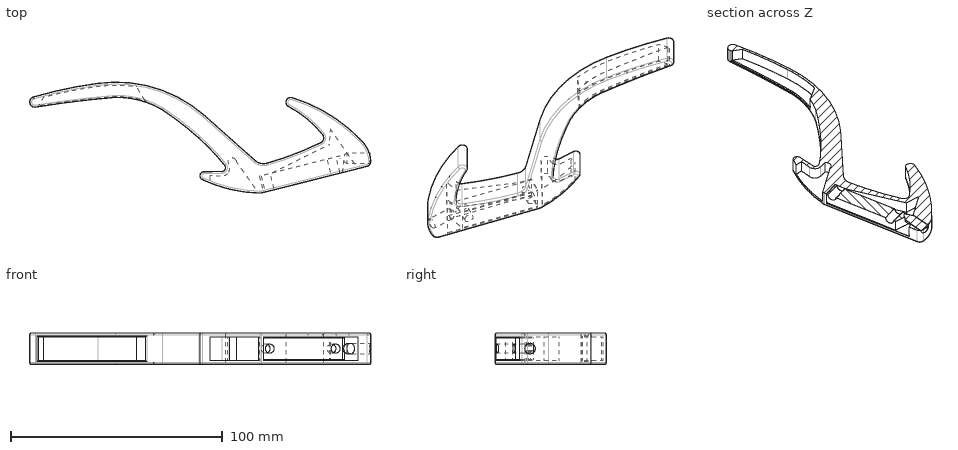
import cadquery as cq
import math

THICKNESS = 15.0
EDGE_ROUND = 0.95
ARM_WALL = 1.5
ARM_MOUTH_CHAMFER = 0.45
HOLLOW_HEIGHT = 11.2
TOUCHING = 0.01
CUT_MARGIN = 3.0

CROTCH = (28.35, -13.12)
MOUTH = (59.6, -1.2)
HEAD_END = (80.67, -13.38)
HEEL = (28.6, -26.5)
NOTCH = (13.7, -16.15)

CORNER_ROUNDS = [
    (CROTCH, 6.0),
    (MOUTH, 2.5),
    (HEAD_END, 2.5),
    (HEEL, 3.0),
    (NOTCH, 1.75),
]

ARM_TIP = ((-78.17, 16.65), 2.5, 277, 107)
HOOK_TIP = ((42.85, 16.5), 2.35, 237, 70)
BEAK_TIP = ((1.8, -18.25), 2.0, 248, 90)

ARM_TOP_JOINT = (-48.4, 25.5)
ARM_TOP_END = (1.8, 10.5)
HEAD_SHOULDER = (76.0, -1.3)
ARM_LOWER_JOINT = (-0.6, -0.5)
ARM_MIDDLE_JOINT = (-17.9, 12.9)
ARM_CREST_JOINT = (-40.0, 18.8)

ARM_TOP_OUTER_MIDDLE = (-65.0, 22.6)
ARM_TOP_INNER_MIDDLE = (-21.0, 23.25)
MOUTH_LOWER_MIDDLE = (45.4, -7.6)
MOUTH_UPPER_MIDDLE = (52.7, 6.7)
HEAD_TOP_MIDDLE = (60.0, 11.4)
HEAD_NOSE_MIDDLE = (79.5, -6.4)
BEAK_LOWER_MIDDLE = (13.8, -24.6)
ARM_ROOT_MIDDLE = (6.4, -7.4)
ARM_MIDDLE = (-9.0, 6.5)
ARM_CREST_MIDDLE = (-28.5, 17.4)
ARM_LOWER_OUTER_MIDDLE = (-59.5, 16.8)

BASE_ANGLE = math.atan2(HEAD_END[1] - HEEL[1], HEAD_END[0] - HEEL[0])

BAR_START = 1.4
BAR_FRONT_END_X = 67.2
BAR_END_LEAN = 1.0
BAR_DEPTH = 8.0
BAR_HEIGHT = 10.2
BAR_HOLE_DIAMETER = 4.3
BAR_HOLE_SPACING = 32.1
BAR_HOLE_COUNT = 2
BAR_HOLE_OFFSET = 3.0

SCREW_DIAMETER = 5.0
SCREW_Y = -10.0
SCREW_END_X = 80.2
SCREW_CONE_X = 69.35
SCREW_CONE_LENGTH = 3.3

ARM_HOLLOW_LEFT = (-76.5, 14.7)
ARM_HOLLOW_RIGHT = (-25.7, 16.65)

BEAK_HOLLOW_RIGHT = (27.5, -26.4)
BEAK_HOLLOW_TIP = (4.7, -18.2)
BEAK_HOLLOW_BEND = [(10.3, -18.3), (13.1, -17.0), (13.7, -14.5)]
BEAK_HOLLOW_TOP = [(13.0, -10.7), (14.9, -9.7)]
BEAK_HOLLOW_WALL_LENGTH = 18.0

HEAD_HOLLOW_RIGHT_X = 74.6
HEAD_HOLLOW_WALL_LENGTH = 22.8
HEAD_HOLLOW_MOUTH_CORNER = (61.0, -3.5)
BAR_CONTACT_LENGTH = 6.0

HEAD_WALL_SLOPE = math.radians(125)
ARM_WALL_SLOPE = math.radians(122)
ARM_TIP_WALL_SLOPE = math.radians(60)


def prism(profile, height):
    """Extrude a closed XY profile symmetrically about Z = 0."""
    return profile.extrude(height / 2, both=True)


def along_base(distance, inward=0.0):
    """Point at a distance from the heel along the base, and inward from it."""
    c = math.cos(BASE_ANGLE)
    s = math.sin(BASE_ANGLE)
    return (HEEL[0] + distance * c - inward * s, HEEL[1] + distance * s + inward * c)


def base_point_at(x):
    """Point of the straight base at the given X."""
    return (x, HEEL[1] + (x - HEEL[0]) * math.tan(BASE_ANGLE))


def polar(start, angle, length):
    """Point at a length from the start, in the direction of an angle in radians."""
    return (start[0] + length * math.cos(angle), start[1] + length * math.sin(angle))


def tip_points(tip):
    """Lower end, outermost point and upper end of a round tip's arc."""
    centre, radius, lower_angle, upper_angle = tip
    angles = (lower_angle, (lower_angle + upper_angle) / 2, upper_angle)
    return [polar(centre, math.radians(angle), radius) for angle in angles]


def outline_prism(height):
    """The handle's outline with rounded corners, extruded."""
    arm_lower, arm_outer, arm_upper = tip_points(ARM_TIP)
    hook_lower, hook_outer, hook_upper = tip_points(HOOK_TIP)
    beak_lower, beak_outer, beak_upper = tip_points(BEAK_TIP)
    profile = (
        cq.Workplane("XY")
        .moveTo(*arm_upper)
        .threePointArc(ARM_TOP_OUTER_MIDDLE, ARM_TOP_JOINT)
        .threePointArc(ARM_TOP_INNER_MIDDLE, ARM_TOP_END)
        .lineTo(*CROTCH)
        .threePointArc(MOUTH_LOWER_MIDDLE, MOUTH)
        .threePointArc(MOUTH_UPPER_MIDDLE, hook_lower)
        .threePointArc(hook_outer, hook_upper)
        .threePointArc(HEAD_TOP_MIDDLE, HEAD_SHOULDER)
        .threePointArc(HEAD_NOSE_MIDDLE, HEAD_END)
        .lineTo(*HEEL)
        .threePointArc(BEAK_LOWER_MIDDLE, beak_lower)
        .threePointArc(beak_outer, beak_upper)
        .lineTo(*NOTCH)
        .threePointArc(ARM_ROOT_MIDDLE, ARM_LOWER_JOINT)
        .threePointArc(ARM_MIDDLE, ARM_MIDDLE_JOINT)
        .threePointArc(ARM_CREST_MIDDLE, ARM_CREST_JOINT)
        .threePointArc(ARM_LOWER_OUTER_MIDDLE, arm_lower)
        .threePointArc(arm_outer, arm_upper)
        .close()
    )
    body = prism(profile, height)
    for corner, radius in CORNER_ROUNDS:
        body = body.edges(cq.selectors.NearestToPointSelector((*corner, 0))).fillet(radius)
    return body


def arm_hollow():
    """Hollow opening on the arm's lower side, its ceiling following the arm's upper side."""
    wall_reach = THICKNESS
    region = prism(
        cq.Workplane("XY").polyline(
            [
                polar(ARM_HOLLOW_LEFT, ARM_TIP_WALL_SLOPE, -CUT_MARGIN),
                polar(ARM_HOLLOW_RIGHT, ARM_WALL_SLOPE, -CUT_MARGIN),
                polar(ARM_HOLLOW_RIGHT, ARM_WALL_SLOPE, wall_reach),
                polar(ARM_HOLLOW_LEFT, ARM_TIP_WALL_SLOPE, wall_reach),
            ]
        ).close(),
        HOLLOW_HEIGHT,
    )
    return region.intersect(outline_prism(THICKNESS).translate((0, -ARM_WALL, 0)))


def beak_hollow():
    """Hollow opening on the beak's lower side, reaching round the notch into the arm's root."""
    bottom = BEAK_HOLLOW_RIGHT[1] - CUT_MARGIN
    bend_start, bend_middle, bend_end = BEAK_HOLLOW_BEND
    top_start, top_middle = BEAK_HOLLOW_TOP
    wall_top = polar(BEAK_HOLLOW_RIGHT, HEAD_WALL_SLOPE, BEAK_HOLLOW_WALL_LENGTH)
    profile = (
        cq.Workplane("XY")
        .moveTo(BEAK_HOLLOW_TIP[0], bottom)
        .lineTo(*BEAK_HOLLOW_TIP)
        .lineTo(*bend_start)
        .threePointArc(bend_middle, bend_end)
        .lineTo(*top_start)
        .threePointArc(top_middle, wall_top)
        .lineTo(*BEAK_HOLLOW_RIGHT)
        .lineTo(BEAK_HOLLOW_RIGHT[0], bottom)
        .close()
    )
    return prism(profile, HOLLOW_HEIGHT)


def head_hollow():
    """Hollow opening on the straight base, holding the bar and running up into the hook."""
    rim_right = base_point_at(HEAD_HOLLOW_RIGHT_X)
    profile = cq.Workplane("XY").polyline(
        [
            along_base(BAR_START, -CUT_MARGIN),
            along_base(BAR_START, BAR_DEPTH),
            along_base(BAR_START + BAR_CONTACT_LENGTH, BAR_DEPTH),
            HEAD_HOLLOW_MOUTH_CORNER,
            polar(rim_right, HEAD_WALL_SLOPE, HEAD_HOLLOW_WALL_LENGTH),
            rim_right,
            (rim_right[0], rim_right[1] - CUT_MARGIN),
        ]
    ).close()
    return prism(profile, HOLLOW_HEIGHT)


def set_screw():
    """Cylinder with a cone point, turned about its own axis along X."""
    radius = SCREW_DIAMETER / 2
    half_section = cq.Workplane("XY").polyline(
        [
            (SCREW_CONE_X - SCREW_CONE_LENGTH, SCREW_Y),
            (SCREW_CONE_X, SCREW_Y - radius),
            (SCREW_END_X, SCREW_Y - radius),
            (SCREW_END_X, SCREW_Y),
        ]
    ).close()
    return half_section.revolve(360, (0, SCREW_Y, 0), (1, SCREW_Y, 0))


def bevel_arm_mouth(hollowed, uncut):
    """Bevel the hollow's edges that lie on the arm's outer side."""
    surface = uncut.val().Shells()[0]
    half_height = HOLLOW_HEIGHT / 2 + TOUCHING

    def on_mouth(edge):
        middle = edge.positionAt(0.5)
        is_within_height = abs(middle.z) < half_height
        touches = surface.distance(cq.Vertex.makeVertex(*middle.toTuple())) < TOUCHING
        return is_within_height and touches

    mouth_edges = [edge for edge in hollowed.edges().vals() if on_mouth(edge)]
    return hollowed.newObject(mouth_edges).chamfer(ARM_MOUTH_CHAMFER)


def handle(screw):
    """Rounded plate hollowed from its lower sides, with a hole fitting the screw."""
    body = outline_prism(THICKNESS).faces("|Z").edges().fillet(EDGE_ROUND)
    body = bevel_arm_mouth(body.cut(arm_hollow()), body)
    return body.cut(beak_hollow()).cut(head_hollow()).cut(screw)


def bar(screw):
    """Bar with two cross holes and, in its leaning end, a seat for the screw's point."""
    front_end = base_point_at(BAR_FRONT_END_X)
    front_length = (BAR_FRONT_END_X - HEEL[0]) / math.cos(BASE_ANGLE)
    lean = BAR_END_LEAN / math.cos(BASE_ANGLE) + BAR_DEPTH * math.tan(BASE_ANGLE)
    body = prism(
        cq.Workplane("XY").polyline(
            [
                along_base(BAR_START),
                front_end,
                along_base(front_length + lean, BAR_DEPTH),
                along_base(BAR_START, BAR_DEPTH),
            ]
        ).close(),
        BAR_HEIGHT,
    )
    inward = cq.Vector(-math.sin(BASE_ANGLE), math.cos(BASE_ANGLE), 0)
    for index in range(BAR_HOLE_COUNT):
        place = along_base(BAR_START + BAR_HOLE_OFFSET + index * BAR_HOLE_SPACING)
        hole = cq.Solid.makeCylinder(BAR_HOLE_DIAMETER / 2, BAR_DEPTH, cq.Vector(*place, 0), inward)
        body = body.cut(cq.Workplane(hole))
    return body.cut(screw)


screw_body = set_screw()
handle_body = handle(screw_body).solids()
bar_body = bar(screw_body).solids()

result = cq.Compound.makeCompound([handle_body.val(), bar_body.val(), screw_body.val()])